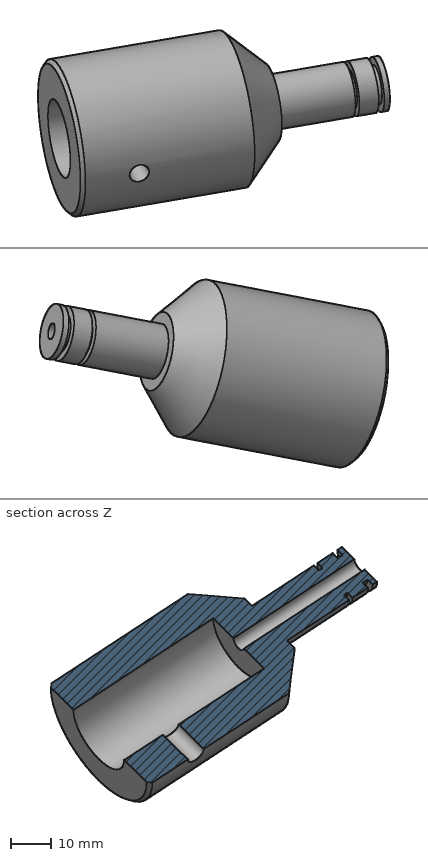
import cadquery as cq

total_length = 84.0
body_diameter = 40.0
body_length = 45.0
cone_length = 10.0
edge_chamfer = 1.0

stem_diameter = 14.0
groove_diameter = 10.0
end_flange_width = 1.5
outer_groove_width = 1.4
collar_width = 5.0
inner_groove_width = 1.0

bore_diameter = 20.0
bore_depth = body_length
passage_diameter = 4.0

side_hole_diameter = 5.0
side_hole_distance = 15.0

front_y = -total_length / 2
back_y = total_length / 2
cone_start_y = front_y + body_length
cone_end_y = cone_start_y + cone_length
outer_groove_y = back_y - end_flange_width - outer_groove_width
inner_groove_y = outer_groove_y - collar_width - inner_groove_width


def cylinder(diameter, start_y, length):
    """Solid cylinder on the Y axis, growing toward +Y from start_y."""
    plane = cq.Plane(origin=(0, start_y, 0), xDir=(1, 0, 0), normal=(0, 1, 0))
    return cq.Workplane(plane).circle(diameter / 2).extrude(length)


def ring_groove(start_y, width):
    """Ring of material to remove around the stem."""
    return cylinder(body_diameter, start_y, width).cut(cylinder(groove_diameter, start_y, width))


body = cylinder(body_diameter, front_y, body_length + cone_length)
body = body.faces("<Y").chamfer(edge_chamfer)
body = body.faces(">Y").chamfer(cone_length)

stem = cylinder(stem_diameter, cone_end_y, back_y - cone_end_y)
stem = stem.cut(ring_groove(outer_groove_y, outer_groove_width))
stem = stem.cut(ring_groove(inner_groove_y, inner_groove_width))

result = body.union(stem)
result = result.cut(cylinder(bore_diameter, front_y, bore_depth))
result = result.cut(cylinder(passage_diameter, front_y, total_length))

side_hole_plane = cq.Workplane("YZ").center(front_y + side_hole_distance, 0)
side_hole = side_hole_plane.circle(side_hole_diameter / 2).extrude(body_diameter)
result = result.cut(side_hole)